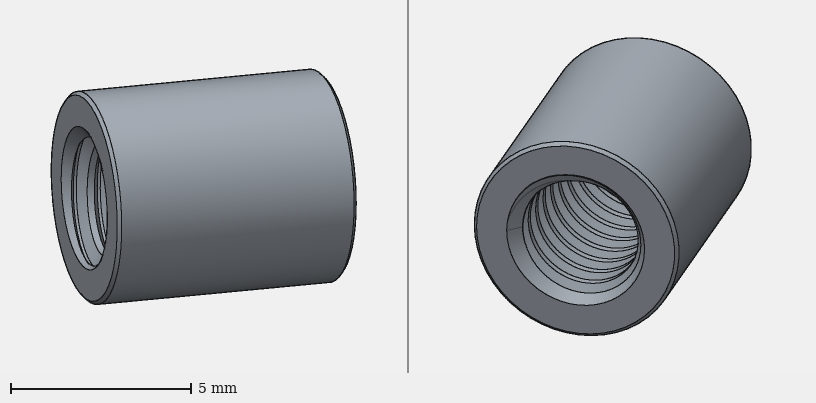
import cadquery as cq
import math

length = 7.0
outer_diameter = 5.95
outer_chamfer = 0.1

thread_pitch = 0.7
major_diameter = 4.005
minor_diameter = 3.305
root_width = thread_pitch / 8
flank_angle = 30.0
thread_start_angle = -30.0
cutter_overlap = 0.035

minor_radius = minor_diameter / 2
thread_depth = (major_diameter - minor_diameter) / 2


def make_rod():
    """Solid cylinder with chamfered rims, its front face on Z = 0."""
    rod = cq.Workplane("XY").circle(outer_diameter / 2).extrude(length)
    return rod.edges().chamfer(outer_chamfer)


def make_bore():
    """Through bore at the minor diameter of the thread."""
    return cq.Workplane("XY").circle(minor_radius).extrude(length)


def make_countersink():
    """45 degree cone that opens the bore to the major diameter at Z = 0."""
    profile = [
        (0, 0),
        (major_diameter / 2, 0),
        (minor_radius, thread_depth),
        (0, thread_depth),
    ]
    return cq.Workplane("XZ").polyline(profile).close().revolve(360, (0, 0, 0), (0, 1, 0))


def make_thread_cutter():
    """Helical trapezoid that runs one pitch past both ends of the body."""
    flank_slope = math.tan(math.radians(flank_angle))
    root_half_width = root_width / 2
    inner_half_width = root_half_width + (thread_depth + cutter_overlap) * flank_slope
    inner_radius = minor_radius - cutter_overlap
    root_radius = major_diameter / 2
    profile = [
        (inner_radius, -inner_half_width),
        (root_radius, -root_half_width),
        (root_radius, root_half_width),
        (inner_radius, inner_half_width),
    ]
    cutter_length = length + 2 * thread_pitch

    helices = []
    for radius, offset in profile:
        helix = cq.Wire.makeHelix(thread_pitch, cutter_length, radius)
        helices.append(helix.translate(cq.Vector(0, 0, offset)))

    faces = []
    for index, helix in enumerate(helices):
        faces += cq.Face.makeRuledSurface(helices[index - 1], helix).Faces()
    for end_height in (0, cutter_length):
        corners = [cq.Vector(radius, 0, offset + end_height) for radius, offset in profile]
        faces.append(cq.Face.makeFromWires(cq.Wire.makePolygon(corners, close=True)))
    groove = cq.Solid.makeSolid(cq.Shell.makeShell(faces))
    groove = groove.rotate((0, 0, 0), (0, 0, 1), thread_start_angle)
    return groove.translate(cq.Vector(0, 0, -thread_pitch))


front_countersink = make_countersink()
back_countersink = front_countersink.mirror("XY").translate((0, 0, length))

spacer = make_rod().cut(cq.Workplane(make_thread_cutter()))
spacer = spacer.cut(front_countersink).cut(back_countersink)
spacer = spacer.cut(make_bore())

result = spacer.translate((0, 0, -length / 2)).rotate((0, 0, 0), (1, 0, 0), -90)